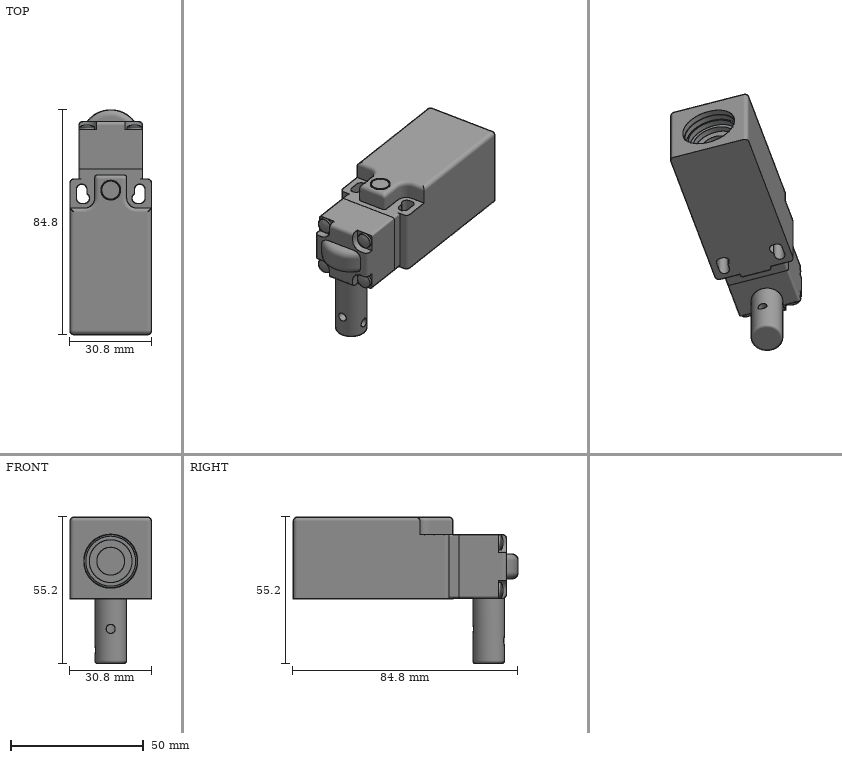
import cadquery as cq
import math

housing_width = 30.8
housing_height = 30.8
shoulder_y = 47.7
flange_end_y = 58.8
flange_height = 24.2
edge_radius = 1.6

boss_half_width = 6.0
boss_end_y = 60.2
boss_root_radius = 3.9
boss_corner_radius = 1.0

ring_y = 54.5
ring_outer_radius = 3.7
ring_inner_radius = 3.4
ring_depth = 0.4

slot_x = 10.9
slot_front_y = 51.5
slot_back_y = 54.8
slot_side_step = 0.9
slot_radius = 1.95

bore_z = 14.2
bore_radii = [10.2, 10.0, 9.4, 8.05, 5.3]
bore_step_depth = 2.1

overall_length = 84.8
disc_radius = 22.3 / 2
disc_thickness = 9.5
disc_fillet = 2.55
shaft_y = overall_length - disc_radius
shaft_radius = 11.95 / 2
shaft_bottom_z = -24.4
shaft_end_radius = 1.0
pin_hole_radius = 1.7
pin_hole_wall = 0.7
pin_holes = [(180, 5.1), (90, 8.6), (270, 13.1)]

head_width = 24.0
head_bottom_z = flange_height - head_width
head_center_z = head_bottom_z + head_width / 2
head_start_y = shaft_y - disc_radius
head_end_y = 80.4
head_edge_radius = 0.85
head_end_radius = 1.5

screw_offset = 9.0
screw_radius = 2.9
screw_rim_height = 1.0
screw_dome_height = 0.8
pocket_radius = 3.65
pocket_depth = 3.05


def box_between(x0, x1, y0, y1, z0, z1):
    """Axis-aligned box given by its limits."""
    return cq.Workplane("XY").box(x1 - x0, y1 - y0, z1 - z0, centered=False).translate((x0, y0, z0))


def entry_bore(radius, depth):
    """Round bore running from the front face into the housing."""
    return cq.Workplane("XZ", origin=(0, 0, bore_z)).circle(radius).extrude(-depth)


def upper_block():
    """Full-height block, narrowing at the shoulder to the tongue over the flange."""
    half = housing_width / 2
    root_x = boss_half_width + boss_root_radius
    root_y = shoulder_y + boss_root_radius
    arc_mid_offset = boss_root_radius * math.sqrt(0.5)
    mid_x = root_x - arc_mid_offset
    mid_y = root_y - arc_mid_offset
    block = (
        cq.Workplane("XY")
        .moveTo(-half, 0)
        .lineTo(half, 0)
        .lineTo(half, shoulder_y)
        .lineTo(root_x, shoulder_y)
        .threePointArc((mid_x, mid_y), (boss_half_width, root_y))
        .lineTo(boss_half_width, boss_end_y)
        .lineTo(-boss_half_width, boss_end_y)
        .lineTo(-boss_half_width, root_y)
        .threePointArc((-mid_x, mid_y), (-root_x, shoulder_y))
        .lineTo(-half, shoulder_y)
        .close()
        .extrude(housing_height)
    )
    block = block.edges("|Z and <Y").fillet(edge_radius)
    block = block.edges("|Z and >Y").fillet(boss_corner_radius)
    return block.faces(">Z").edges().fillet(edge_radius)


def flange():
    """Lower plate behind the shoulder that carries the mounting slots."""
    half = housing_width / 2
    plate = box_between(-half, half, shoulder_y - edge_radius, flange_end_y, 0, flange_height)
    return plate.edges("|Z and >Y").fillet(edge_radius)


def head_bar(y0, y1):
    """Square bar of the head section with softened long edges."""
    half = head_width / 2
    bar = box_between(-half, half, y0, y1, head_bottom_z, flange_height)
    return bar.edges("|Y").fillet(head_edge_radius)


def mounting_slot(side):
    """L-shaped slot on the side given by the sign of X."""
    x = side * slot_x
    inner_x = x - side * slot_side_step
    width = 2 * slot_radius
    long_leg = (
        cq.Workplane("XY")
        .center(x, (slot_front_y + slot_back_y) / 2)
        .slot2D(slot_back_y - slot_front_y + width, width, 90)
        .extrude(flange_height)
    )
    short_leg = (
        cq.Workplane("XY")
        .center((x + inner_x) / 2, slot_front_y)
        .slot2D(slot_side_step + width, width)
        .extrude(flange_height)
    )
    return long_leg.union(short_leg)


def make_housing():
    """Block, flange and neck in one piece, with slots, stepped entry bore and ring groove."""
    neck = head_bar(flange_end_y - edge_radius, head_start_y)
    body = upper_block().union(flange()).union(neck)
    for side in (-1, 1):
        body = body.cut(mounting_slot(side))
    for step, radius in enumerate(bore_radii, start=1):
        body = body.cut(entry_bore(radius, step * bore_step_depth))
    ring = (
        cq.Workplane("XY", origin=(0, ring_y, housing_height - ring_depth))
        .circle(ring_outer_radius)
        .circle(ring_inner_radius)
        .extrude(ring_depth)
    )
    return body.cut(ring)


def screw_head(x, z):
    """Domed screw head on a pocket floor."""
    floor_y = head_end_y - pocket_depth
    sphere_radius = (screw_radius ** 2 + screw_dome_height ** 2) / (2 * screw_dome_height)
    apex_y = screw_rim_height + screw_dome_height
    mid_x = screw_radius / 2
    mid_y = apex_y - sphere_radius + math.sqrt(sphere_radius ** 2 - mid_x ** 2)
    profile = (
        cq.Workplane("XY")
        .lineTo(screw_radius, 0)
        .lineTo(screw_radius, screw_rim_height)
        .threePointArc((mid_x, mid_y), (0, apex_y))
        .close()
        .revolve(360, (0, 0, 0), (0, 1, 0))
    )
    return profile.translate((x, floor_y, z))


def corner_pocket(x_side, z_side):
    """Screw pocket open to the head end and to both outer sides."""
    reach = head_width / 2 - screw_offset + pocket_radius
    pocket = (
        cq.Workplane("XZ", origin=(0, head_end_y, 0))
        .rect(reach, reach)
        .extrude(pocket_depth)
    )
    inner_corner = ("<" if x_side > 0 else ">") + "X"
    inner_level = ("<" if z_side > 0 else ">") + "Z"
    pocket = pocket.edges("|Y").edges(inner_corner).edges(inner_level).fillet(pocket_radius)
    center = (head_width - reach) / 2
    return pocket.translate((x_side * center, 0, head_center_z + z_side * center))


def make_head(shaft_blank):
    """Head with four screws at its end and a cavity that fits the disc and shaft."""
    head = head_bar(head_start_y, head_end_y)
    head = head.faces(">Y").edges().fillet(head_end_radius)
    for x_side in (-1, 1):
        for z_side in (-1, 1):
            head = head.cut(corner_pocket(x_side, z_side))
            screw_z = head_center_z + z_side * screw_offset
            head = head.union(screw_head(x_side * screw_offset, screw_z))
    return head.cut(shaft_blank)


def plain_shaft():
    """Rounded disc inside the head with the shaft hanging below it."""
    disc = (
        cq.Workplane("XY", origin=(0, shaft_y, head_center_z - disc_thickness / 2))
        .circle(disc_radius)
        .extrude(disc_thickness)
        .edges()
        .fillet(disc_fillet)
    )
    rod = (
        cq.Workplane("XY", origin=(0, shaft_y, shaft_bottom_z))
        .circle(shaft_radius)
        .extrude(head_center_z - shaft_bottom_z)
        .faces("<Z")
        .edges()
        .fillet(shaft_end_radius)
    )
    return disc.union(rod)


def pin_hole(angle, height):
    """Blind radial hole whose floor is concentric with the shaft, near its far side."""
    center_z = shaft_bottom_z + height
    slice_height = 4 * pin_hole_radius
    slice_bottom = center_z - slice_height / 2
    drill = (
        cq.Workplane("YZ", origin=(0, 0, center_z))
        .circle(pin_hole_radius)
        .extrude(2 * shaft_radius, both=True)
    )
    core = (
        cq.Workplane("XY", origin=(0, 0, slice_bottom))
        .circle(shaft_radius - pin_hole_wall)
        .extrude(slice_height)
    )
    entry = box_between(
        0, 2 * shaft_radius, -shaft_radius, shaft_radius, slice_bottom, slice_bottom + slice_height
    )
    hole = drill.intersect(core.union(entry))
    return hole.rotate((0, 0, 0), (0, 0, 1), angle).translate((0, shaft_y, 0))


def make_shaft():
    """Disc and shaft with its three pin holes."""
    shaft = plain_shaft()
    for angle, height in pin_holes:
        shaft = shaft.cut(pin_hole(angle, height))
    return shaft


housing = make_housing()
head = make_head(plain_shaft())
shaft = make_shaft()

result = cq.Compound.makeCompound([housing.val(), head.val(), shaft.val()])